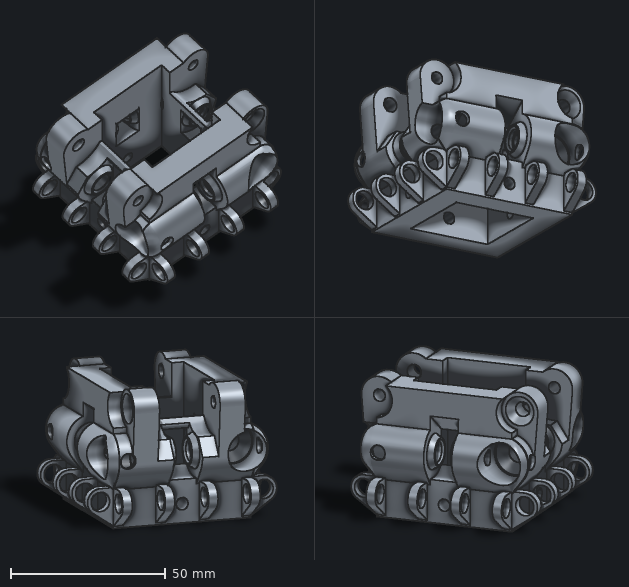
import cadquery as cq
import math

HALF = 23.75
INNER_HALF = 14.5
WALL_TOP = 44.45

Y_AXIS_OUT = 21.0
X_AXIS_OUT = 20.7
AXIS_Z = 23.2
TUBE_RADIUS = 8.6
TUBE_FOOT_Z = 12.75

WINDOW_HALF = 4.9
SWING_RADIUS = 8.6
WINDOW_OUT = HALF + TUBE_RADIUS
X_ROOF_SLOPE = 35.5
Y_ROOF_Z = 29.5
NOSE_OUT = 17.0
NOSE_RADIUS = 2.0
CONE_LENGTH = 2.15
CONE_BASE_RADIUS = 5.95
CONE_END_RADIUS = 4.7

PIN_CLEARANCE = 6.75
PIN_THREAD = 5.1
Y_TUBE_HEAD_BORE = 14.25
X_TUBE_HEAD_BORE = 14.0
HEAD_FLOOR = 14.65
HEAD_CONE = 13.35
MOUTH = 8.25
THREAD_START = 2.15

EAR_OUT = 24.6
EAR_Z = 39.6
EAR_RADIUS = 6.35
EAR_NEAR = 10.45
EAR_FAR = 19.15
EAR_THREAD = 4.05
EAR_CLEARANCE = 4.85
EAR_SINK = 9.9

GAP_RADIUS = 11.05
LIP_OUT = 15.7
LIP_TOP = 33.3
FLAT_OUT = 25.6
FLAT_FOOT_Z = 22.6

TAB_RADIUS = 4.45
TAB_TIP = 32.7
TAB_OUT = TAB_TIP - TAB_RADIUS
TAB_Z = 9.15
TAB_HOLE = 6.35
TAB_FOOT_Z = 0.7
TAB_WIDTH = 3.2
TAB_NEAR = 5.9
TAB_STARTS = (-HALF, -TAB_NEAR - TAB_WIDTH, TAB_NEAR, HALF - TAB_WIDTH)

WALL_HOLE = 4.05
WALL_HOLE_Z = 6.4


def turned(shape, angle):
    return shape.rotate((0, 0, 0), (0, 0, 1), angle)


def slab(outline, start, end):
    """Extrude a (y, z) outline along X from start to end."""
    return outline.extrude(end - start).translate((start, 0, 0))


def outline_at(y, z):
    return cq.Workplane("YZ").moveTo(y, z)


def rod(y, z, diameter, start, end):
    """Cylinder along X."""
    return slab(cq.Workplane("YZ").center(y, z).circle(diameter / 2), start, end)


def cone(y, z, x_start, r_start, x_end, r_end):
    """Cone along X."""
    half_section = [(x_start, 0), (x_start, r_start), (x_end, r_end), (x_end, 0)]
    solid = cq.Workplane("XY").polyline(half_section).close().revolve(360, (0, 0, 0), (1, 0, 0))
    return solid.translate((0, y, z))


def on_circle(y, z, radius, degrees):
    a = math.radians(degrees)
    return (y + radius * math.cos(a), z + radius * math.sin(a))


def tangent_angle(y, z, radius, py, pz):
    """Lower touch point, in degrees, of the tangent from (py, pz) to a circle."""
    reach = math.hypot(py - y, pz - z)
    toward = math.degrees(math.atan2(pz - z, py - y))
    return toward + math.degrees(math.acos(radius / reach))


def tube_outline(axis_out):
    """Outer part of a tube section, tangent to its sloping underside."""
    foot = tangent_angle(axis_out, AXIS_Z, TUBE_RADIUS, HALF, TUBE_FOOT_Z)
    head = math.degrees(math.acos((HALF - axis_out) / TUBE_RADIUS))
    points = [on_circle(axis_out, AXIS_Z, TUBE_RADIUS, a) for a in (foot, 0, head)]
    return outline_at(HALF, TUBE_FOOT_Z).lineTo(*points[0]).threePointArc(*points[1:]).close()


def tube(axis_out):
    """Outer half of the tube on the +Y wall."""
    return slab(tube_outline(axis_out), -HALF, HALF)


def corner():
    """Round joint between two tubes, around the upright edge at -X and +Y."""
    outline = tube_outline(X_AXIS_OUT)
    return outline.revolve(90, (HALF, 0, 0), (HALF, 1, 0)).translate((-HALF, 0, 0))


def window_start(axis_out):
    """Floor of a window, with the round clearance for a mating knuckle up to axis height."""
    floor_z = AXIS_Z - SWING_RADIUS
    return (
        outline_at(WINDOW_OUT, TUBE_FOOT_Z)
        .lineTo(HALF, TUBE_FOOT_Z)
        .lineTo(HALF, floor_z)
        .lineTo(axis_out, floor_z)
        .threePointArc(
            on_circle(axis_out, AXIS_Z, SWING_RADIUS, 225),
            on_circle(axis_out, AXIS_Z, SWING_RADIUS, 180),
        )
    )


def x_window():
    """Window with a flat roof that rises outward, tangent to the round clearance."""
    middle = on_circle(X_AXIS_OUT, AXIS_Z, SWING_RADIUS, 150)
    roof = on_circle(X_AXIS_OUT, AXIS_Z, SWING_RADIUS, 90 + X_ROOF_SLOPE)
    rise = (WINDOW_OUT - roof[0]) * math.tan(math.radians(X_ROOF_SLOPE))
    outline = window_start(X_AXIS_OUT).threePointArc(middle, roof).lineTo(WINDOW_OUT, roof[1] + rise)
    return slab(outline.close(), -WINDOW_HALF, WINDOW_HALF)


def y_window():
    """Window under the round nose of the wall, open upward in front of the nose."""
    nose = (NOSE_OUT - NOSE_RADIUS, Y_ROOF_Z + NOSE_RADIUS)
    outline = (
        window_start(Y_AXIS_OUT)
        .lineTo(Y_AXIS_OUT - SWING_RADIUS, Y_ROOF_Z)
        .lineTo(nose[0], Y_ROOF_Z)
        .threePointArc(on_circle(*nose, NOSE_RADIUS, -45), (NOSE_OUT, nose[1]))
        .lineTo(NOSE_OUT, EAR_Z)
        .lineTo(WINDOW_OUT, EAR_Z)
    )
    return slab(outline.close(), -WINDOW_HALF, WINDOW_HALF)


def ear(start):
    """Ear of the +Y wall, blended down to the tube by a tangent face."""
    rise = math.hypot(EAR_OUT - Y_AXIS_OUT, EAR_Z - AXIS_Z)
    lean = math.degrees(math.atan2(EAR_Z - AXIS_Z, EAR_OUT - Y_AXIS_OUT))
    touch = lean - math.degrees(math.acos((TUBE_RADIUS - EAR_RADIUS) / rise))
    outline = (
        outline_at(*on_circle(Y_AXIS_OUT, AXIS_Z, TUBE_RADIUS, touch))
        .lineTo(*on_circle(EAR_OUT, EAR_Z, EAR_RADIUS, touch))
        .threePointArc((EAR_OUT, EAR_Z + EAR_RADIUS), (EAR_OUT - EAR_RADIUS, EAR_Z))
        .lineTo(EAR_OUT - EAR_RADIUS, AXIS_Z)
        .close()
    )
    return slab(outline, start, start + EAR_FAR - EAR_NEAR)


def gap():
    """Space between the ears, down to a rounded lip, a concave sweep and a flat slope."""
    lip_edge_z = EAR_Z - math.sqrt(GAP_RADIUS**2 - (EAR_OUT - LIP_OUT) ** 2)
    flat_z = EAR_Z - math.sqrt(GAP_RADIUS**2 - (FLAT_OUT - EAR_OUT) ** 2)
    tube_out = Y_AXIS_OUT + math.sqrt(TUBE_RADIUS**2 - (FLAT_FOOT_Z - AXIS_Z) ** 2)
    lip_mid = ((INNER_HALF + LIP_OUT) / 2, LIP_TOP)
    sweep_mid = on_circle(EAR_OUT, EAR_Z, GAP_RADIUS, 240)
    outline = (
        outline_at(INNER_HALF, lip_edge_z)
        .threePointArc(lip_mid, (LIP_OUT, lip_edge_z))
        .threePointArc(sweep_mid, (FLAT_OUT, flat_z))
        .lineTo(tube_out, FLAT_FOOT_Z)
        .lineTo(tube_out + EAR_RADIUS, FLAT_FOOT_Z)
        .lineTo(tube_out + EAR_RADIUS, EAR_Z + EAR_RADIUS)
        .lineTo(INNER_HALF, EAR_Z + EAR_RADIUS)
        .close()
    )
    return slab(outline, -EAR_NEAR, EAR_NEAR)


def tab(start):
    """Pierced tab at the foot of the +Y wall."""
    low = tangent_angle(TAB_OUT, TAB_Z, TAB_RADIUS, HALF, TAB_FOOT_Z)
    outline = (
        outline_at(HALF, TAB_FOOT_Z)
        .lineTo(*on_circle(TAB_OUT, TAB_Z, TAB_RADIUS, low))
        .threePointArc((TAB_OUT + TAB_RADIUS, TAB_Z), (TAB_OUT, TAB_Z + TAB_RADIUS))
        .lineTo(INNER_HALF, TAB_Z + TAB_RADIUS)
        .lineTo(INNER_HALF, TAB_FOOT_Z)
        .close()
    )
    plate = slab(outline, start, start + TAB_WIDTH)
    return plate.cut(rod(TAB_OUT, TAB_Z, TAB_HOLE, start, start + TAB_WIDTH))


def pin_cutters(axis_out, head_bore):
    """Pin hole of the +Y tube: head bore and clearance on the +X half, thread on the -X half."""
    end = HALF + TUBE_RADIUS
    tip = WINDOW_HALF - CONE_LENGTH
    cone_end = HEAD_FLOOR - (HEAD_CONE - PIN_CLEARANCE) / 2
    flare_end = tip + (MOUTH - PIN_CLEARANCE) / 2
    cutters = [
        rod(axis_out, AXIS_Z, head_bore, HEAD_FLOOR, end),
        cone(axis_out, AXIS_Z, HEAD_FLOOR, HEAD_CONE / 2, cone_end, PIN_CLEARANCE / 2),
        rod(axis_out, AXIS_Z, PIN_CLEARANCE, -tip - THREAD_START, HEAD_FLOOR),
        rod(axis_out, AXIS_Z, PIN_THREAD, -end, 0),
    ]
    for side in (-1, 1):
        cutters.append(cone(axis_out, AXIS_Z, side * tip, MOUTH / 2, side * flare_end, PIN_CLEARANCE / 2))
    return cutters


def knuckle_end(axis_out, side):
    """Conical end of one knuckle, reaching into the window."""
    base = side * WINDOW_HALF
    tip = base - side * CONE_LENGTH
    return cone(axis_out, AXIS_Z, base, CONE_BASE_RADIUS, tip, CONE_END_RADIUS)


Y_STYLE = (Y_AXIS_OUT, y_window, Y_TUBE_HEAD_BORE)
X_STYLE = (X_AXIS_OUT, x_window, X_TUBE_HEAD_BORE)
WALLS = [(0, *Y_STYLE), (90, *X_STYLE), (180, *Y_STYLE), (270, *X_STYLE)]
Y_WALLS = (0, 180)

body = cq.Workplane("XY").box(2 * HALF, 2 * HALF, WALL_TOP, centered=(True, True, False))
for angle, axis_out, _, _ in WALLS:
    body = body.union(turned(tube(axis_out), angle)).union(turned(corner(), angle))
for angle in Y_WALLS:
    for start in (-EAR_FAR, EAR_NEAR):
        body = body.union(turned(ear(start), angle))

opening = cq.Workplane("XY").rect(2 * INNER_HALF, 2 * INNER_HALF).extrude(WALL_TOP)
body = body.cut(opening)
for angle in Y_WALLS:
    body = body.cut(turned(gap(), angle))
    for start, end in ((-HALF, -EAR_FAR), (EAR_FAR, HALF)):
        body = body.cut(turned(rod(EAR_OUT, EAR_Z, 2 * EAR_RADIUS, start, end), angle))
for angle, _, window, _ in WALLS:
    body = body.cut(turned(window(), angle))

for angle, axis_out, _, _ in WALLS:
    for side in (-1, 1):
        body = body.union(turned(knuckle_end(axis_out, side), angle))
    for start in TAB_STARTS:
        body = body.union(turned(tab(start), angle))
for angle, axis_out, _, head_bore in WALLS:
    for cutter in pin_cutters(axis_out, head_bore):
        body = body.cut(turned(cutter, angle))

ear_sink_depth = (EAR_SINK - EAR_CLEARANCE) / 2
for angle in Y_WALLS:
    body = body.cut(turned(rod(EAR_OUT, EAR_Z, EAR_THREAD, -EAR_FAR, -EAR_NEAR), angle))
    body = body.cut(turned(rod(EAR_OUT, EAR_Z, EAR_CLEARANCE, EAR_NEAR, EAR_FAR), angle))
    sink = cone(EAR_OUT, EAR_Z, EAR_FAR, EAR_SINK / 2, EAR_FAR - ear_sink_depth, EAR_CLEARANCE / 2)
    body = body.cut(turned(sink, angle))

for plane in ("XZ", "YZ"):
    hole = cq.Workplane(plane).center(0, WALL_HOLE_Z).circle(WALL_HOLE / 2).extrude(HALF, both=True)
    body = body.cut(hole)

result = body